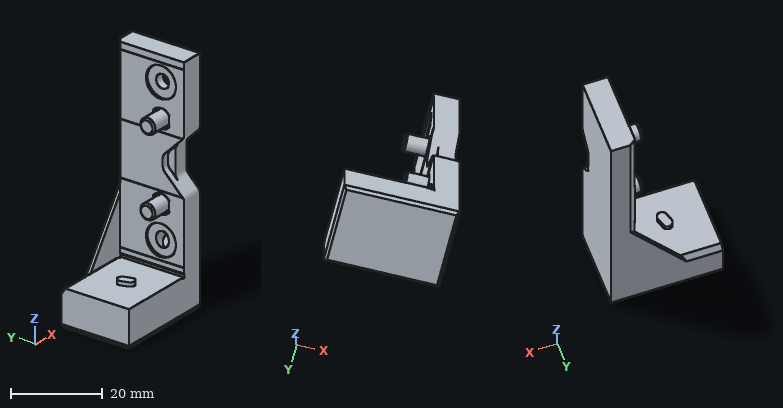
import cadquery as cq
import math

LENGTH = 26.0
WIDTH = 18.4
HEIGHT = 62.0
FOOT_HEIGHT = 10.0
PLATE_THICKNESS = 5.95
PLATE_X = LENGTH - PLATE_THICKNESS

RIM_RISE = 1.05
RIM_INSET = 0.6
EDGE_DEPTH = 1.5
EDGE_INSET = 1.05

GROOVE_DEPTH = 0.25
GROOVE_FOOT_REACH = 1.25
GROOVE_FOOT_FLAT = 0.45
GROOVE_PLATE_REACH = 0.8
GROOVE_PLATE_FLAT = 0.45

GUSSET_FOOT_X = 9.5
GUSSET_ANGLE = 55.0
GUSSET_THICKNESS = 0.9

PATTERN_Y = 6.3
PATTERN_Z = 36.15
SIDES = (-1, 1)

RECESS_INNER = 7.1
RECESS_OUTER = 24.0
RECESS_DEPTH = 0.1

NOTCH_HALF_MOUTH = 7.45
NOTCH_DEEP = 5.75
NOTCH_SHALLOW = 3.7
NOTCH_LAYER = 1.9
NOTCH_RADIUS = 2.0

SPOT_OFFSET = 19.15
SPOT_DIAMETER = 8.1
SPOT_DEPTH = 0.55
HOLE_DIAMETER = 3.5
SPOT_FLOOR_X = PLATE_X + RECESS_DEPTH + SPOT_DEPTH
UPPER_HOLE_DEPTH = 2.65
UPPER_HOLE_CHAMFER = 0.2
LOWER_HOLE_DEPTH = 3.0
LOWER_HOLE_TILT = 30.0

PIN_OFFSET = 10.35
PIN_DIAMETER = 4.0
PIN_PROJECTION = 5.1
PIN_EMBEDDED = 4.85
PIN_CHAMFER = 0.45

RELIEF_DIAMETER = 5.15
RELIEF_WIDTH = 4.35
RELIEF_DEPTH = 1.5

KEY_X = 9.8
KEY_Y = 8.05
KEY_WIDTH = 2.3
KEY_LENGTH = 4.15
KEY_HEIGHT = 1.05
KEY_ANGLE = 108.0


def cylinder_x(x, z, diameter, length):
    """Cylinder along +X that starts at x on the pattern line."""
    start = cq.Vector(x, PATTERN_Y, z)
    return cq.Workplane(cq.Solid.makeCylinder(diameter / 2, length, start, cq.Vector(1, 0, 0)))


def prism_y(points, y_start, y_end):
    """Polygon of (x, z) points extruded from y_start to y_end."""
    outline = cq.Workplane("XZ", origin=(0, y_start, 0)).polyline(points).close()
    return outline.extrude(y_start - y_end)


def bottom_rim():
    """Block under the foot that tapers to a smaller rectangle."""
    return (
        cq.Workplane("XY", origin=(LENGTH / 2, WIDTH / 2, RIM_RISE))
        .rect(LENGTH, WIDTH)
        .workplane(offset=-RIM_RISE)
        .rect(LENGTH - 2 * RIM_INSET, WIDTH - 2 * RIM_INSET)
        .loft(ruled=True)
    )


def l_body():
    profile = [
        (0, RIM_RISE),
        (LENGTH, RIM_RISE),
        (LENGTH, HEIGHT),
        (PLATE_X, HEIGHT),
        (PLATE_X, FOOT_HEIGHT),
        (0, FOOT_HEIGHT),
    ]
    return prism_y(profile, 0, WIDTH).union(bottom_rim())


def edge_chamfers():
    """Wedges along the +Y edges of the plate face and of the foot face."""
    plate_wedge = (
        cq.Workplane("XY", origin=(0, 0, FOOT_HEIGHT - EDGE_DEPTH))
        .polyline([(PLATE_X, WIDTH), (PLATE_X, WIDTH - EDGE_INSET), (PLATE_X + EDGE_DEPTH, WIDTH)])
        .close()
        .extrude(HEIGHT)
    )
    foot_wedge = (
        cq.Workplane("YZ")
        .polyline([
            (WIDTH, FOOT_HEIGHT),
            (WIDTH - EDGE_INSET, FOOT_HEIGHT),
            (WIDTH, FOOT_HEIGHT - EDGE_DEPTH),
        ])
        .close()
        .extrude(PLATE_X + EDGE_DEPTH)
    )
    return plate_wedge.union(foot_wedge)


def gusset():
    """Triangular web that reaches into the body through the edge chamfers."""
    slope = math.tan(math.radians(GUSSET_ANGLE))
    corner_x = PLATE_X + EDGE_DEPTH
    corner_z = FOOT_HEIGHT - EDGE_DEPTH
    toe_x = GUSSET_FOOT_X - EDGE_DEPTH / slope
    top_z = corner_z + (corner_x - toe_x) * slope
    triangle = [(toe_x, corner_z), (corner_x, corner_z), (corner_x, top_z)]
    return prism_y(triangle, WIDTH - GUSSET_THICKNESS, WIDTH)


def corner_groove():
    floor_z = FOOT_HEIGHT - GROOVE_DEPTH
    wall_x = PLATE_X + GROOVE_DEPTH
    profile = [
        (PLATE_X - GROOVE_FOOT_REACH, FOOT_HEIGHT),
        (PLATE_X - GROOVE_FOOT_FLAT, floor_z),
        (wall_x, floor_z),
        (wall_x, FOOT_HEIGHT + GROOVE_PLATE_FLAT),
        (PLATE_X, FOOT_HEIGHT + GROOVE_PLATE_REACH),
        (PLATE_X, FOOT_HEIGHT),
    ]
    return prism_y(profile, 0, WIDTH)


def face_recess(side):
    centre_z = PATTERN_Z + side * (RECESS_INNER + RECESS_OUTER) / 2
    height = RECESS_OUTER - RECESS_INNER
    return (
        cq.Workplane("XY")
        .box(RECESS_DEPTH, WIDTH, height, centered=(False, False, True))
        .translate((PLATE_X, 0, centre_z))
    )


def notch(depth, x_start, x_end):
    """V notch with a flat bottom, rounded at the mouth and at the bottom."""
    half_bottom = NOTCH_HALF_MOUTH - depth
    margin = 2 * NOTCH_RADIUS
    half_outer = NOTCH_HALF_MOUTH + margin
    points = [
        (-margin, -half_outer),
        (0, -half_outer),
        (0, -NOTCH_HALF_MOUTH),
        (depth, -half_bottom),
        (depth, half_bottom),
        (0, NOTCH_HALF_MOUTH),
        (0, half_outer),
        (-margin, half_outer),
    ]
    solid = cq.Workplane("YZ").polyline(points).close().extrude(x_end - x_start)
    reach_y = depth + NOTCH_RADIUS
    reach_z = half_outer - NOTCH_RADIUS
    v_corners = cq.selectors.BoxSelector((0, -NOTCH_RADIUS, -reach_z), (LENGTH, reach_y, reach_z))
    solid = solid.edges("|X").edges(v_corners).fillet(NOTCH_RADIUS)
    return solid.translate((x_start, 0, PATTERN_Z))


def upper_hole():
    z = PATTERN_Z + SPOT_OFFSET
    bore = cylinder_x(SPOT_FLOOR_X, z, HOLE_DIAMETER, UPPER_HOLE_DEPTH)
    return bore.faces(">X").chamfer(UPPER_HOLE_CHAMFER)


def lower_hole():
    """Blind hole that runs into the plate and downward."""
    tilt = math.radians(LOWER_HOLE_TILT)
    axis = cq.Vector(math.cos(tilt), 0, -math.sin(tilt))
    mouth = cq.Vector(SPOT_FLOOR_X, PATTERN_Y, PATTERN_Z - SPOT_OFFSET)
    lead = HOLE_DIAMETER / 2 * math.tan(tilt)
    start = mouth - axis * lead
    return cq.Workplane(cq.Solid.makeCylinder(HOLE_DIAMETER / 2, lead + LOWER_HOLE_DEPTH, start, axis))


def spotface(side):
    return cylinder_x(PLATE_X, PATTERN_Z + side * SPOT_OFFSET, SPOT_DIAMETER, RECESS_DEPTH + SPOT_DEPTH)


def pin_socket(side):
    """Bore for a pin with the flat-sided relief round its mouth."""
    z = PATTERN_Z + side * PIN_OFFSET
    bore = cylinder_x(PLATE_X, z, PIN_DIAMETER, PIN_EMBEDDED)
    flats = cq.Workplane("XY").box(2 * RELIEF_DEPTH, RELIEF_WIDTH, RELIEF_DIAMETER)
    relief = cylinder_x(PLATE_X, z, RELIEF_DIAMETER, RELIEF_DEPTH)
    relief = relief.intersect(flats.translate((PLATE_X, PATTERN_Y, z)))
    return bore.union(relief)


def key():
    return (
        cq.Workplane("XY", origin=(KEY_X, KEY_Y, FOOT_HEIGHT))
        .slot2D(KEY_LENGTH, KEY_WIDTH, KEY_ANGLE)
        .extrude(KEY_HEIGHT)
    )


def make_bracket():
    body = l_body().cut(edge_chamfers()).cut(corner_groove())
    for side in SIDES:
        body = body.cut(face_recess(side))
    body = body.union(gusset())
    for side in SIDES:
        body = body.cut(spotface(side)).cut(pin_socket(side))
    body = body.cut(upper_hole()).cut(lower_hole())
    layer_x = PLATE_X + NOTCH_LAYER
    body = body.cut(notch(NOTCH_DEEP, PLATE_X, layer_x)).cut(notch(NOTCH_SHALLOW, layer_x, LENGTH))
    return body.union(key())


def make_pin(side):
    z = PATTERN_Z + side * PIN_OFFSET
    pin = cylinder_x(PLATE_X - PIN_PROJECTION, z, PIN_DIAMETER, PIN_PROJECTION + PIN_EMBEDDED)
    return pin.faces("<X").chamfer(PIN_CHAMFER)


bracket = make_bracket()
pins = [make_pin(side) for side in SIDES]

result = cq.Compound.makeCompound([bracket.val(), *[pin.val() for pin in pins]])